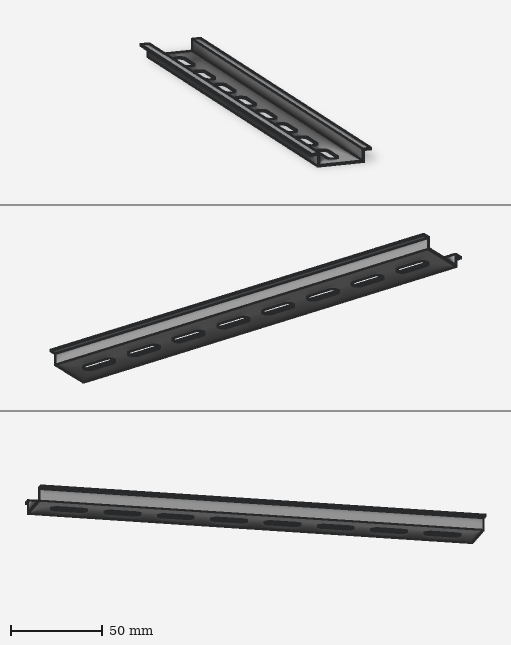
import cadquery as cq

length = 250.0
width = 35.2
height = 7.5
sheet = 0.8

channel_width = 27.0

slot_count = 8
slot_pitch = 30.0
slot_length = 20.0
slot_width = 6.5


def hat_section():
    """Half of the hat outline, mirrored about the vertical mid-plane."""
    outer_wall = channel_width / 2
    inner_wall = outer_wall - sheet
    lip_edge = width / 2
    half_outline = [
        (0, 0),
        (outer_wall, 0),
        (outer_wall, height - sheet),
        (lip_edge, height - sheet),
        (lip_edge, height),
        (inner_wall, height),
        (inner_wall, sheet),
        (0, sheet),
    ]
    return cq.Workplane("YZ").polyline(half_outline).mirrorY()


def slot_cutters():
    """Round-ended slots, evenly spaced and centred on the rail."""
    return (
        cq.Workplane("XY")
        .rarray(slot_pitch, 2.5, slot_count, 1)
        .slot2D(slot_length, slot_width)
        .extrude(sheet)
    )


rail = hat_section().extrude(length / 2, both=True)
result = rail.cut(slot_cutters())